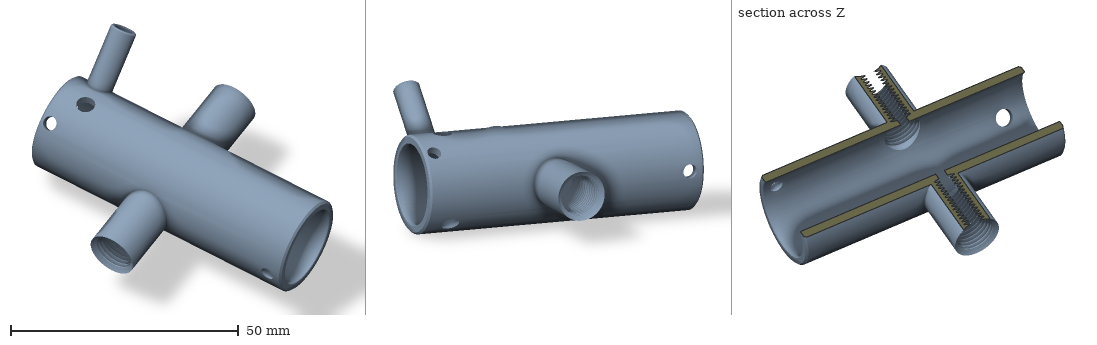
import cadquery as cq

length = 65.0
tube_diameter = 22.0
bore_diameter = 18.0
tube_chamfer = 0.45
bore_chamfer = 0.1

cross_x = 30.0
cross_length = 49.9
cross_diameter = 11.0
thread_major_diameter = 10.0
thread_minor_diameter = 8.9
thread_pitch = 1.0
thread_crest = 0.2

side_x = 6.0
side_tilt = 45.0
side_reach = 25.0
side_diameter = 6.0
side_bore_diameter = 4.0
side_chamfer = 0.25

top_hole_x = 7.35
top_hole_tilt = 0.0
top_hole_diameter = 4.15
small_hole_diameter = 3.1
tilted_hole_x = 2.5
tilted_hole_tilt = -40.0
far_hole_x = length - 3.45
far_hole_tilt = -90.0

tube_radius = tube_diameter / 2


def rod(diameter, rod_length, end_chamfer=0.0):
    """Solid rod along local Z from the origin; a negative chamfer flares the far end."""
    radius = diameter / 2
    end_radius = radius - end_chamfer
    shoulder = rod_length - abs(end_chamfer)
    points = [(0, 0), (radius, 0), (radius, shoulder), (end_radius, rod_length), (0, rod_length)]
    if end_chamfer == 0:
        points.remove((radius, shoulder))
    return cq.Workplane("XZ").polyline(points).close().revolve(360, (0, 0, 0), (0, 1, 0))


def place_radially(body, x, tilt):
    """Move a body from local Z onto the main axis at x, tilted in degrees from +Z towards +Y."""
    return body.rotate((0, 0, 0), (1, 0, 0), -tilt).translate((x, 0, 0))


def make_main_tube():
    """Main tube blank, chamfered around both ends."""
    return cq.Workplane("YZ").circle(tube_radius).extrude(length).edges().chamfer(tube_chamfer)


def make_main_bore():
    """Cutter for the main bore, flared slightly at both ends."""
    half = rod(bore_diameter, length / 2, -bore_chamfer).rotate((0, 0, 0), (0, 1, 0), 90)
    return half.union(half.mirror("YZ")).translate((length / 2, 0, 0))


def make_cross_tube():
    """Cross tube blank, centred on the main axis."""
    blank = cq.Workplane("XZ").circle(cross_diameter / 2).extrude(cross_length / 2, both=True)
    return blank.translate((cross_x, 0, 0))


def make_threaded_bore():
    """Cutter for the cross tube: V-shaped ring grooves and a mouth flared to the outside."""
    end = cross_length / 2
    outer = cross_diameter / 2
    major = thread_major_diameter / 2
    minor = thread_minor_diameter / 2
    flank = (thread_pitch - thread_crest) / 2
    y = end - (outer - major)
    points = [(0, 0), (0, end), (outer, end)]
    while y > bore_diameter / 2:
        points.append((major, y))
        points.append((minor, y - flank))
        points.append((minor, y - flank - thread_crest))
        y -= thread_pitch
    points.append((minor, 0))
    half = cq.Workplane("XY").polyline(points).close().revolve(360, (0, 0, 0), (0, 1, 0))
    return half.union(half.mirror("XZ")).translate((cross_x, 0, 0))


def make_side_tube():
    """Side tube blank, chamfered around its free end."""
    return place_radially(rod(side_diameter, side_reach, side_chamfer), side_x, side_tilt)


def make_side_bore():
    """Cutter for the side tube bore, which also pierces the opposite wall of the main tube."""
    bore = rod(side_bore_diameter, side_reach, -side_chamfer)
    far_wall = rod(side_bore_diameter, tube_radius).mirror("XY")
    return place_radially(bore.union(far_wall), side_x, side_tilt)


def make_wall_hole(x, tilt, diameter):
    """Cutter for a hole through the wall on one side of the main tube."""
    return place_radially(rod(diameter, tube_radius), x, tilt)


result = (
    make_main_tube()
    .union(make_cross_tube())
    .union(make_side_tube())
    .cut(make_main_bore())
    .cut(make_threaded_bore())
    .cut(make_side_bore())
    .cut(make_wall_hole(top_hole_x, top_hole_tilt, top_hole_diameter))
    .cut(make_wall_hole(tilted_hole_x, tilted_hole_tilt, small_hole_diameter))
    .cut(make_wall_hole(far_hole_x, far_hole_tilt, small_hole_diameter))
)